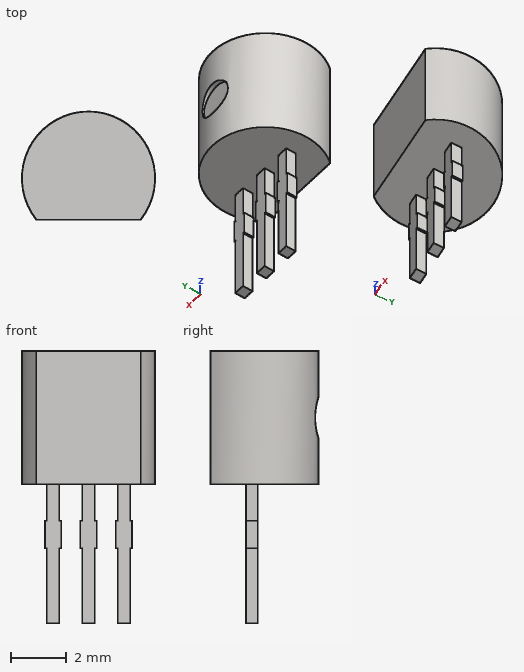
import cadquery as cq


total_height = 9.8
body_diameter = 4.8
body_height = 4.8
flat_distance = 1.5
body_radius = body_diameter / 2
body_bottom = total_height - body_height

mark_radius = 0.75
mark_depth = 0.2
mark_height = body_bottom + body_height / 2

lead_count = 3
lead_pitch = 1.27
lead_width = 0.46
lead_thickness = 0.43
shoulder_width = 0.6
shoulder_bottom = 2.695
shoulder_height = 1.0


def centered_bar(width, bottom, height):
    """Upright bar centred on the Z axis, as thick as a lead."""
    bar = cq.Workplane("XY").box(width, lead_thickness, height, centered=(True, True, False))
    return bar.translate((0, 0, bottom))


def make_body():
    """Cylinder cut by the flat front face."""
    cylinder = cq.Workplane("XY").circle(body_radius).extrude(body_height)
    kept_depth = flat_distance + body_radius
    kept_side = (
        cq.Workplane("XY")
        .box(body_diameter, kept_depth, body_height, centered=(True, False, False))
        .translate((0, -flat_distance, 0))
    )
    return cylinder.intersect(kept_side).translate((0, 0, body_bottom))


def make_mark():
    """Flat-bottomed round cutter reaching in from the back of the body."""
    return (
        cq.Workplane("XZ", origin=(0, body_radius, mark_height))
        .circle(mark_radius)
        .extrude(mark_depth)
    )


def make_lead():
    """Straight lead with a wider shoulder part-way up."""
    shank = centered_bar(lead_width, 0, body_bottom)
    shoulder = centered_bar(shoulder_width, shoulder_bottom, shoulder_height)
    return shank.union(shoulder)


result = make_body().cut(make_mark())
lead = make_lead()
for index in range(lead_count):
    lead_x = (index - (lead_count - 1) / 2) * lead_pitch
    result = result.union(lead.translate((lead_x, 0, 0)))